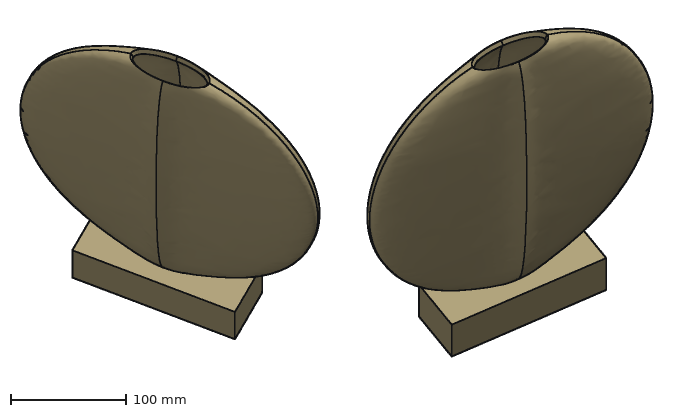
import cadquery as cq
import math

BASE_LENGTH = 156.2
BASE_WIDTH = 56.0
BASE_HEIGHT = 40.3
BASE_OFFSET_X = -2.5

TOP_Z = 320.0
HALF_WIDTH = 141.95
HALF_HEIGHT = 142.5
FACE_HALF_THICKNESS = 19.0
RIDGE_HALF_THICKNESS = 28.65
WALL = 4.8

FACE_EXPONENT = 0.28
RIDGE_EXPONENT = 0.25
ROUNDING_POWER = 12
RIDGE_FADE = 13.5

SECTION_COUNT = 13
CURVE_SPANS = 10
FOOT_ANGLE = math.radians(1.0)
LIP_HEIGHT = 0.9 * WALL

DISC_CENTER_Z = BASE_HEIGHT + HALF_HEIGHT * math.cos(FOOT_ANGLE)
MOUTH_RISE = TOP_Z - DISC_CENTER_Z


def half_thickness(x, z, inset):
    """Distance of the skin from the plane Y = 0, for a skin moved inward by inset."""
    axis_falloff = 1 - (z / (HALF_HEIGHT - inset)) ** 2
    falloff = max(0.0, axis_falloff - (x / (HALF_WIDTH - inset)) ** 2)
    face = (FACE_HALF_THICKNESS - inset) * falloff**FACE_EXPONENT
    ridge = (RIDGE_HALF_THICKNESS - inset) * falloff**RIDGE_EXPONENT
    creased = face + (ridge - face) * math.exp(-x / RIDGE_FADE)

    axis_height = (RIDGE_HALF_THICKNESS - inset) * axis_falloff**RIDGE_EXPONENT
    ellipse = axis_height * math.sqrt(falloff / axis_falloff)
    roundness = min(1.0, (abs(z) / (MOUTH_RISE - inset)) ** ROUNDING_POWER)
    return creased + (ellipse - creased) * roundness


def section_wire(z, inset):
    """Horizontal quarter section at height z above the disc center."""
    half_width = (HALF_WIDTH - inset) * math.sqrt(1 - (z / (HALF_HEIGHT - inset)) ** 2)
    points = []
    for i in range(CURVE_SPANS + 1):
        x = half_width * math.cos(math.pi / 2 * i / CURVE_SPANS)
        points.append(cq.Vector(x, half_thickness(x, z, inset), DISC_CENTER_Z + z))
    edge_point = cq.Vector(half_width, 0, DISC_CENTER_Z + z)
    points[0] = edge_point
    axis_point = cq.Vector(0, 0, DISC_CENTER_Z + z)
    ridge_point = points[-1]
    return cq.Wire.assembleEdges(
        [
            cq.Edge.makeLine(axis_point, edge_point),
            cq.Edge.makeSpline(points),
            cq.Edge.makeLine(ridge_point, axis_point),
        ]
    )


def quarter_disc(top_z, inset):
    """Solid quarter of the disc, from its foot up to top_z."""
    half_height = HALF_HEIGHT - inset
    high = math.acos((DISC_CENTER_Z - top_z) / half_height)
    wires = []
    for i in range(SECTION_COUNT):
        angle = FOOT_ANGLE + (high - FOOT_ANGLE) * i / (SECTION_COUNT - 1)
        wires.append(section_wire(-half_height * math.cos(angle), inset))
    return cq.Solid.makeLoft(wires)


def quarter_shell():
    """Hollow quarter in +X +Y, with a lip sloping inward from the mouth."""
    lip_z = TOP_Z - LIP_HEIGHT
    cavity = quarter_disc(lip_z, WALL)
    mouth = cq.Solid.makeLoft(
        [
            section_wire(lip_z - DISC_CENTER_Z, WALL),
            section_wire(MOUTH_RISE, 0),
        ],
        True,
    )
    outer = quarter_disc(TOP_Z, 0)
    hollow = cq.Workplane(obj=outer).cut(cq.Workplane(obj=cavity)).cut(cq.Workplane(obj=mouth))
    return hollow.solids()


base = cq.Workplane("XY").box(BASE_LENGTH, BASE_WIDTH, BASE_HEIGHT, centered=(True, True, False))
base = base.translate((BASE_OFFSET_X, 0, 0))

back_shell = quarter_shell().val()
shells = []
for shell in (back_shell, back_shell.mirror("XZ")):
    shells.append(shell)
    shells.append(shell.mirror("YZ"))

result = cq.Compound.makeCompound([base.val(), *shells])